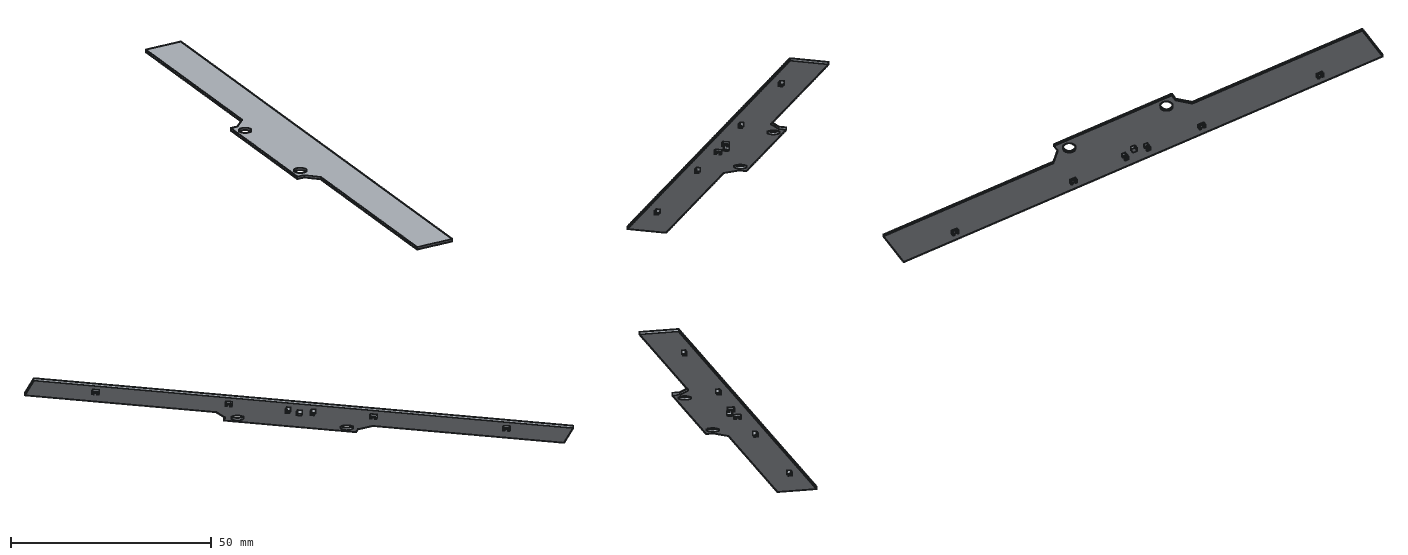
import cadquery as cq

board_length = 138.0
board_depth = 15.0
board_thickness = 0.7
strip_depth = 10.1
tab_width = 34.0
tab_root_width = 40.0
tab_side_height = 2.0
hole_diameter = 3.2
hole_spacing = 28.0
hole_edge_distance = 2.5

component_height = 1.0
chip_length = 1.7
chip_width = 1.0
terminal_length = 0.4
core_height = 0.5
row_chip_y = -2.8
row_chip_inner_x = 18.5
row_chip_pitch = 34.1
cross_chip_x = 3.2
cross_chip_y = -3.5

package_side = 1.2
package_y = -4.5

board_bottom = -board_thickness


def make_board():
    """Board with its +Y edge on Y = 0 and a through hole near each end of the tab."""
    half_length = board_length / 2
    half_tab = tab_width / 2
    half_root = tab_root_width / 2
    taper_end_y = tab_side_height - board_depth
    outline = [
        (-half_length, 0),
        (half_length, 0),
        (half_length, -strip_depth),
        (half_root, -strip_depth),
        (half_tab, taper_end_y),
        (half_tab, -board_depth),
        (-half_tab, -board_depth),
        (-half_tab, taper_end_y),
        (-half_root, -strip_depth),
        (-half_length, -strip_depth),
    ]
    plate = cq.Workplane("XY").polyline(outline).close().extrude(-board_thickness)
    hole_y = hole_edge_distance - board_depth
    holes = (
        cq.Workplane("XY")
        .pushPoints([(-hole_spacing / 2, hole_y), (hole_spacing / 2, hole_y)])
        .circle(hole_diameter / 2)
        .extrude(-board_thickness)
    )
    return plate.cut(holes)


def make_chip(x, y, angle):
    """Chip on the board underside, turned by angle about Z from lying along X."""
    core_length = chip_length - 2 * terminal_length
    recess_depth = component_height - core_height
    block = cq.Workplane("XY").box(chip_length, chip_width, component_height, centered=(True, True, False))
    recess = cq.Workplane("XY").box(core_length, chip_width, recess_depth, centered=(True, True, False))
    chip = block.cut(recess).rotate((0, 0, 0), (0, 0, 1), angle)
    return chip.translate((x, y, board_bottom - component_height))


def make_package():
    """Plain square block on the board underside, on the centre line."""
    block = cq.Workplane("XY").rect(package_side, package_side).extrude(-component_height)
    return block.translate((0, package_y, board_bottom))


board = make_board()
package = make_package()

row_chips = []
cross_chips = []
row_chip_outer_x = row_chip_inner_x + row_chip_pitch
for side in (-1, 1):
    for distance in (row_chip_inner_x, row_chip_outer_x):
        row_chips.append(make_chip(side * distance, row_chip_y, 0))
    cross_chips.append(make_chip(side * cross_chip_x, cross_chip_y, 90))

result = cq.Compound.makeCompound(
    [body.val() for body in [board, package, *row_chips, *cross_chips]]
)